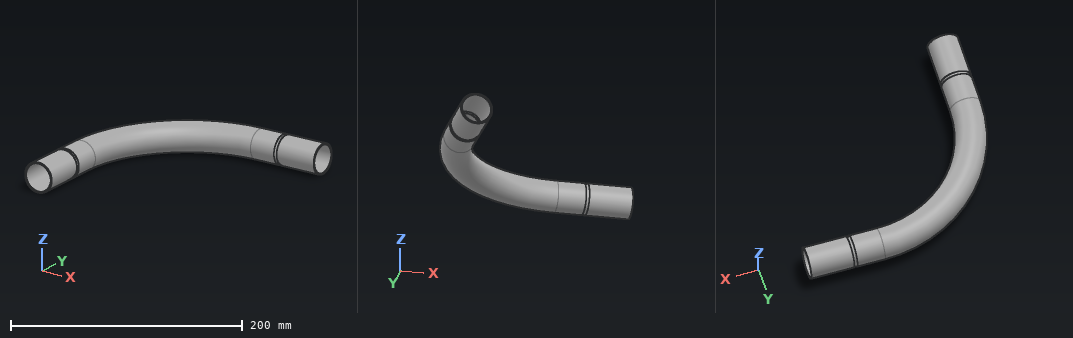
import cadquery as cq
import math

overall_size = 190.5
outer_diameter = 28.0
bore_diameter = 25.5
leg_length = 66.3

groove_start = 38.7
groove_width = 2.9
groove_depth = 0.8

outer_radius = outer_diameter / 2
bore_radius = bore_diameter / 2
wall = outer_radius - bore_radius
bend_radius = overall_size - leg_length - outer_radius

groove_middle = groove_start + groove_width / 2
groove_arc_radius = ((groove_width / 2) ** 2 + groove_depth**2) / (2 * groove_depth)
groove_bottom_radius = outer_radius - groove_depth
arc_centre_radius = groove_bottom_radius + groove_arc_radius
bead_arc_radius = groove_arc_radius + wall
bead_peak_radius = groove_bottom_radius - wall
bead_half_width = math.sqrt(bead_arc_radius**2 - (arc_centre_radius - bore_radius) ** 2)


def make_leg():
    """Straight leg around the Y axis, with its open end at the origin."""
    return (
        cq.Workplane("XY")
        .moveTo(bore_radius, 0)
        .lineTo(outer_radius, 0)
        .lineTo(outer_radius, groove_start)
        .threePointArc((groove_bottom_radius, groove_middle), (outer_radius, groove_start + groove_width))
        .lineTo(outer_radius, leg_length)
        .lineTo(bore_radius, leg_length)
        .lineTo(bore_radius, groove_middle + bead_half_width)
        .threePointArc((bead_peak_radius, groove_middle), (bore_radius, groove_middle - bead_half_width))
        .close()
        .revolve(360, (0, 0, 0), (0, 1, 0))
    )


def make_bend():
    """Quarter bend from the top of the first leg toward +X."""
    return (
        cq.Workplane("XZ", origin=(outer_radius, leg_length, 0))
        .circle(outer_radius)
        .circle(bore_radius)
        .revolve(90, (bend_radius, 0, 0), (bend_radius, -1, 0))
    )


first_leg = make_leg().translate((outer_radius, 0, 0))
second_leg = (
    make_leg()
    .rotate((0, 0, 0), (0, 0, 1), 90)
    .translate((overall_size, overall_size - outer_radius, 0))
)

result = first_leg.union(make_bend()).union(second_leg)